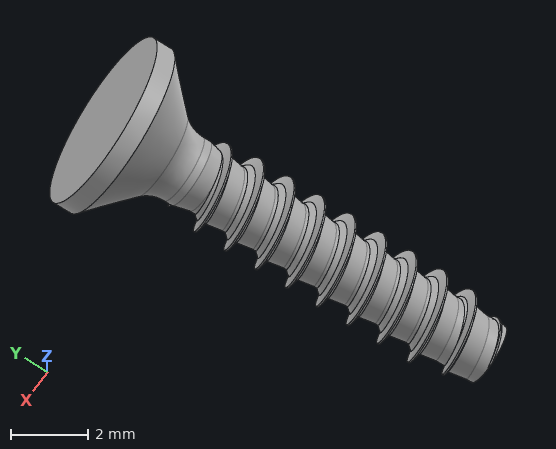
import cadquery as cq
import math

length = 12.0

head_diameter = 5.0
head_radius = head_diameter / 2
rim_depth = 0.55
cone_slope = 45
shank_radius = 0.97
neck_fillet = 1.0
shank_end = 2.72

core_radius = 0.85
core_cone_depth = 3.22

recess_radius = 0.84
recess_floor_radius = 0.8
recess_depth = 0.05
floor_rise = 0.05

turns_to_tip = 9.75
run_in_start = -0.5
full_start = 1.0
full_end = 8.25
pitch = (length - shank_end) / turns_to_tip
crest_radius = 1.26
points_per_turn = 16

crest_half_width = 0.02
shoulder_offset = 0.1
shoulder_radius = 0.98
flare_offset = 0.29
tip_side_offset = 0.18
root_radius = core_radius - 0.04
blade_profile = [
    (-crest_half_width, crest_radius),
    (crest_half_width, crest_radius),
    (tip_side_offset, root_radius),
    (-flare_offset, root_radius),
    (-shoulder_offset, shoulder_radius),
]

taper_radius = 0.95
taper_front = 0.11
taper_length = 0.68
taper_end_radius = core_radius - 0.01
taper_profile = [
    (crest_half_width, taper_radius),
    (taper_length, taper_end_radius),
    (taper_length, root_radius),
    (-taper_front, root_radius),
]


def body():
    """Head rim, cone, filleted neck, shank and plain core as one revolved solid."""
    slope = math.radians(cone_slope)
    fillet_rise = neck_fillet * (1 - math.cos(slope))
    fillet_run = neck_fillet * math.sin(slope)
    cone_radius = shank_radius + fillet_rise
    cone_depth = rim_depth + (head_radius - cone_radius) / math.tan(slope)
    fillet_end = cone_depth + fillet_run
    half_slope = slope / 2
    arc_middle = (
        shank_radius + neck_fillet * (1 - math.cos(half_slope)),
        -(fillet_end - neck_fillet * math.sin(half_slope)),
    )
    outline = (
        cq.Workplane("XY")
        .lineTo(head_radius, 0)
        .lineTo(head_radius, -rim_depth)
        .lineTo(cone_radius, -cone_depth)
        .threePointArc(arc_middle, (shank_radius, -fillet_end))
        .lineTo(shank_radius, -shank_end)
        .lineTo(core_radius, -core_cone_depth)
        .lineTo(core_radius, -length)
        .lineTo(0, -length)
        .close()
    )
    return outline.revolve(360, (0, 0, 0), (0, 1, 0))


def helix_point(turn, offset, radius):
    angle = 2 * math.pi * turn
    depth = shank_end + pitch * turn + offset
    return cq.Vector(radius * math.cos(angle), -depth, radius * math.sin(angle))


def helical_solid(profile, start_turn, end_turn, start_drop=0.0, end_drop=0.0):
    """Polygon profile carried along the helix while its radial drop changes evenly."""
    steps = math.ceil((end_turn - start_turn) * points_per_turn)

    def corner_edge(offset, radius):
        points = []
        for step in range(steps + 1):
            share = step / steps
            turn = start_turn + (end_turn - start_turn) * share
            drop = start_drop + (end_drop - start_drop) * share
            points.append(helix_point(turn, offset, radius - drop))
        return cq.Edge.makeSpline(points)

    def end_cap(turn, drop):
        corners = [helix_point(turn, offset, radius - drop) for offset, radius in profile]
        return cq.Face.makeFromWires(cq.Wire.makePolygon(corners, close=True))

    edges = [corner_edge(offset, radius) for offset, radius in profile]
    faces = [cq.Face.makeRuledSurface(a, b) for a, b in zip(edges, edges[1:] + edges[:1])]
    faces.append(end_cap(start_turn, start_drop))
    faces.append(end_cap(end_turn, end_drop))
    return cq.Workplane(cq.Solid.makeSolid(cq.Shell.makeShell(faces)).fix())


def thread():
    """Blade that rises out of the shank, runs at full height and sinks into the tip."""
    run_in_drop = crest_radius - shank_radius
    run_out_drop = crest_radius - core_radius
    run_in = helical_solid(blade_profile, run_in_start, full_start, start_drop=run_in_drop)
    full = helical_solid(blade_profile, full_start, full_end)
    run_out = helical_solid(blade_profile, full_end, turns_to_tip, end_drop=run_out_drop)
    return [run_in, full, run_out]


def core_taper():
    """Tapered band behind the blade, in pieces of one turn that meet end to end."""
    whole_turns = math.floor(turns_to_tip)
    pieces = [helical_solid(taper_profile, turn, turn + 1) for turn in range(whole_turns)]
    fade = helical_solid(
        taper_profile, whole_turns, turns_to_tip, end_drop=taper_radius - core_radius
    )
    return pieces + [fade]


def threaded_zone():
    """Cylinder between the plain shank and the tip that the thread may fill."""
    base = cq.Workplane("XZ", origin=(0, -shank_end, 0))
    return base.circle(head_radius).extrude(length - shank_end)


def tip_recess():
    """Shallow dish in the tip: a sloping rim around a slightly conical floor."""
    outline = (
        cq.Workplane("XY")
        .moveTo(0, -length)
        .lineTo(recess_radius, -length)
        .lineTo(recess_floor_radius, -(length - recess_depth))
        .lineTo(0, -(length - recess_depth - floor_rise))
        .close()
    )
    return outline.revolve(360, (0, 0, 0), (0, 1, 0))


result = body()
for piece in core_taper() + thread():
    result = result.union(piece.intersect(threaded_zone()))
result = result.cut(tip_recess())